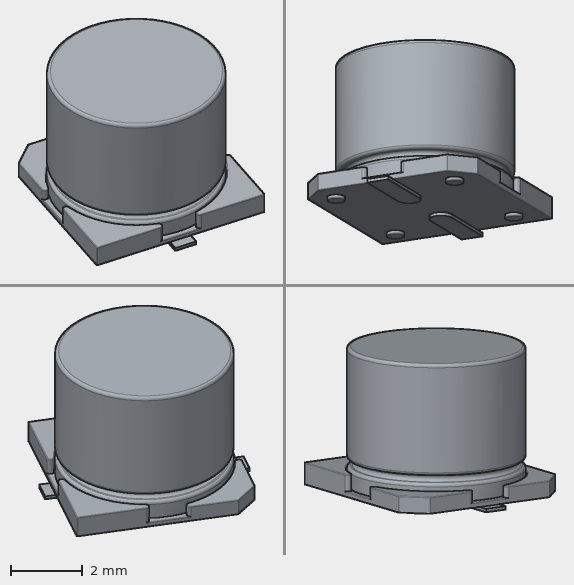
import cadquery as cq
import math

lead_span = 5.9
total_height = 4.2
base_side = 5.3
stand_off = 0.1
can_radius = 5.0 / 2
neck_radius = 4.5 / 2
crimp_round = 0.1
crimp_height = 0.91

floor_height = 0.26
low_post_height = 0.585
high_post_height = 0.74
corner_cut = 0.64
can_clearance = 0.03
pocket_radius = can_radius + can_clearance
post_end_round = 0.1
edge_round = 0.02

lead_width = 0.66
lead_inner_end = 0.68
foot_diameter = 0.5
foot_offset = 1.845

half_base = base_side / 2
post_foot = stand_off + edge_round


def make_block(bottom, top):
    """Outer shape of the base between two heights, with the two -X corners cut off."""
    block = cq.Workplane("XY").workplane(offset=bottom).rect(base_side, base_side)
    block = block.extrude(top - bottom)
    block = block.edges("|Z and <X").chamfer(corner_cut)
    return block.edges("|Z").fillet(edge_round)


def make_plate():
    """Floor plate of the base."""
    return make_block(stand_off, floor_height).faces("<Z or >Z").edges().fillet(edge_round)


def make_post(x_side, y_side, top_height):
    """Corner post around the can; full rounds join its outer walls to the pocket wall."""
    r = post_end_round
    centre_y = half_base - r
    centre_x = math.sqrt((pocket_radius + r)**2 - centre_y**2)
    touch_scale = pocket_radius / (pocket_radius + r)
    touch_x = centre_x * touch_scale
    touch_y = centre_y * touch_scale
    pocket_middle = pocket_radius * math.sqrt(0.5)

    def at(x, y):
        return (x_side * x, y_side * y)

    post = (
        cq.Workplane("XY")
        .workplane(offset=post_foot)
        .moveTo(*at(centre_x, half_base))
        .lineTo(*at(half_base, half_base))
        .lineTo(*at(half_base, centre_x))
        .threePointArc(at(centre_y, centre_x - r), at(touch_y, touch_x))
        .threePointArc(at(pocket_middle, pocket_middle), at(touch_x, touch_y))
        .threePointArc(at(centre_x - r, centre_y), at(centre_x, half_base))
        .close()
        .extrude(top_height - post_foot)
    )
    post = post.intersect(make_block(post_foot, top_height))
    return post.faces(">Z").edges().fillet(edge_round)


def make_can():
    """Revolved can with a rounded rim and a crimp groove near its foot."""
    r = crimp_round
    shoulder_radius = can_radius - r
    round_middle = shoulder_radius + r * math.sqrt(0.5)
    middle_rise = r * math.sqrt(0.5)
    groove_edge = neck_radius + r
    lower_centre = crimp_height - 2 * r
    upper_centre = crimp_height + 2 * r
    rim_centre = total_height - r
    profile = (
        cq.Workplane("XZ")
        .moveTo(0, floor_height)
        .lineTo(can_radius, floor_height)
        .lineTo(can_radius, lower_centre)
        .threePointArc((round_middle, lower_centre + middle_rise), (shoulder_radius, lower_centre + r))
        .lineTo(groove_edge, crimp_height - r)
        .threePointArc((neck_radius, crimp_height), (groove_edge, crimp_height + r))
        .lineTo(shoulder_radius, upper_centre - r)
        .threePointArc((round_middle, upper_centre - middle_rise), (can_radius, upper_centre))
        .lineTo(can_radius, rim_centre)
        .threePointArc((round_middle, rim_centre + middle_rise), (shoulder_radius, total_height))
        .lineTo(0, total_height)
        .close()
    )
    return profile.revolve(360, (0, 0, 0), (0, 1, 0))


def make_lead(x_side):
    """Flat lead with a fully rounded inner end."""
    half_width = lead_width / 2
    round_start = lead_inner_end + half_width
    return (
        cq.Workplane("XY")
        .moveTo(x_side * lead_span / 2, half_width)
        .lineTo(x_side * round_start, half_width)
        .threePointArc((x_side * lead_inner_end, 0), (x_side * round_start, -half_width))
        .lineTo(x_side * lead_span / 2, -half_width)
        .close()
        .extrude(stand_off)
    )


def make_feet():
    """Four round feet under the corners of the base."""
    feet = cq.Workplane("XY").rect(2 * foot_offset, 2 * foot_offset, forConstruction=True)
    feet = feet.vertices().circle(foot_diameter / 2).extrude(stand_off)
    return feet.faces("<Z").edges().fillet(edge_round)


result = make_plate().union(make_can()).union(make_feet())
for side in (-1, 1):
    result = result.union(make_lead(side))
    result = result.union(make_post(-1, side, low_post_height))
    result = result.union(make_post(1, side, high_post_height))